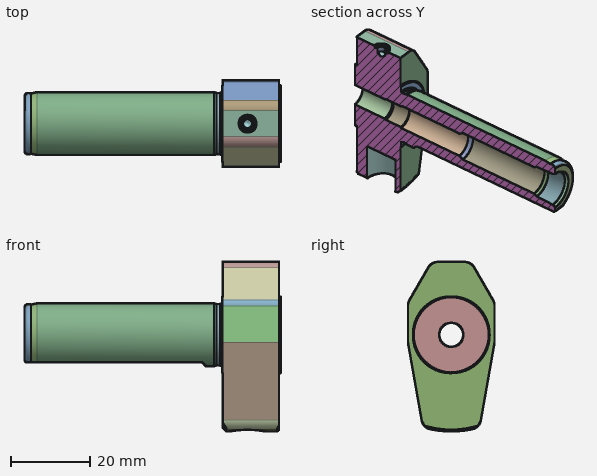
import cadquery as cq
import math

LENGTH = 65.0
HEAD_START = 50.2
HEAD_END = 64.5
HEAD_THICKNESS = HEAD_END - HEAD_START
CROSS_HOLE_X = 56.5

SHAFT_R = 8.0
LIP_R = 15.6 / 2
END_FACE_R = 7.0
LIP_START = (0.15, 7.35)
LIP_CREST = (0.95, LIP_R)
LIP_END = (1.65, 7.65)
TAPER_END_X = 3.2
NECK_TAPER_START = 48.0
NECK_TAPER_END = 48.6
NECK_END = 49.5
FLAT_Z = -7.0
FLAT_END_X = 45.0
FLAT_CHAMFER = 0.5

COLLAR_R = 9.75
COLLAR_CHAMFER = 0.25
FRONT_COLLAR_X = 50.0

BORE_CONE_ANGLE = math.radians(30)
BORE_MOUTH_R = 5.25
BORE_R = 4.8
BORE_INNER_R = 4.6
BORE_END_X = 6.0
PILOT_R = 8.2 / 2
PILOT_END_X = 30.0
TAP_R = 6.9 / 2
TAP_END_X = 50.0
RELIEF_R = 6.4 / 2
RELIEF_END_X = 55.0
THROUGH_R = 6.0 / 2

HEAD_HALF_WIDTH = 11.0
HEAD_TOP = 18.5
HEAD_BOTTOM_R = 24.5
TOP_HALF_WIDTH = 5.0
SHOULDER_ANGLE = math.radians(60)
TAPER_ANGLE = math.radians(10)
TAPER_TOP_Z = -1.9
TRIM_MARGIN = 1.0
CORNER_R = 3.0
FRONT_BOTTOM_CHAMFER = 1.0
REAR_BOTTOM_CHAMFER = 0.5

POCKET_D = 9.0
POCKET_DEPTH = 10.0
COUNTERSINK_R = 2.25
COUNTERSINK_ANGLE = math.radians(30)
SCREW_R = 4.0 / 2
SCREW_TIP_R = 1.5
SCREW_SINK = 0.25
SOCKET_R = 2.31 / 2
SOCKET_DEPTH = 1.5
SOCKET_POINT_ANGLE = math.radians(30)


def revolve_about_x(profile):
    """Turn a closed (x, radius) profile about the shaft axis."""
    return profile.close().revolve(360, (0, 0, 0), (1, 0, 0))


def make_head():
    shoulder_z = HEAD_TOP - (HEAD_HALF_WIDTH - TOP_HALF_WIDTH) * math.tan(SHOULDER_ANGLE)
    base_z = -HEAD_BOTTOM_R - TRIM_MARGIN
    base_half_width = HEAD_HALF_WIDTH - (TAPER_TOP_Z - base_z) * math.tan(TAPER_ANGLE)
    right_side = [
        (TOP_HALF_WIDTH, HEAD_TOP),
        (HEAD_HALF_WIDTH, shoulder_z),
        (HEAD_HALF_WIDTH, TAPER_TOP_Z),
        (base_half_width, base_z),
    ]
    left_side = [(-y, z) for y, z in reversed(right_side)]
    head = (
        cq.Workplane("YZ", origin=(HEAD_START, 0, 0))
        .polyline(right_side + left_side)
        .close()
        .extrude(HEAD_THICKNESS)
    )
    trim = cq.Workplane("YZ", origin=(HEAD_START, 0, 0)).circle(HEAD_BOTTOM_R).extrude(HEAD_THICKNESS)
    head = head.intersect(trim)

    bend_zone = cq.selectors.BoxSelector(
        (0, -LENGTH, TAPER_TOP_Z - TRIM_MARGIN),
        (LENGTH, LENGTH, TAPER_TOP_Z + TRIM_MARGIN),
    )
    lengthwise = cq.selectors.ParallelDirSelector(cq.Vector(1, 0, 0))
    head = head.edges(lengthwise - bend_zone).fillet(CORNER_R)

    envelope = trim.faces("<X").chamfer(FRONT_BOTTOM_CHAMFER).faces(">X").chamfer(REAR_BOTTOM_CHAMFER)
    return head.intersect(envelope)


def make_shaft():
    profile = (
        cq.Workplane("XY")
        .lineTo(0, END_FACE_R)
        .lineTo(*LIP_START)
        .threePointArc(LIP_CREST, LIP_END)
        .lineTo(TAPER_END_X, SHAFT_R)
        .lineTo(NECK_TAPER_START, SHAFT_R)
        .lineTo(NECK_TAPER_END, LIP_R)
        .lineTo(NECK_END, LIP_R)
        .lineTo(FRONT_COLLAR_X, SHAFT_R)
        .lineTo(HEAD_START, SHAFT_R)
        .lineTo(HEAD_START, 0)
    )
    shaft = revolve_about_x(profile)
    ramp = SHAFT_R + FLAT_Z
    flat = (
        cq.Workplane("XZ")
        .moveTo(0, FLAT_Z + FLAT_CHAMFER)
        .lineTo(FLAT_CHAMFER, FLAT_Z)
        .lineTo(FLAT_END_X, FLAT_Z)
        .lineTo(FLAT_END_X + ramp, -SHAFT_R)
        .lineTo(0, -SHAFT_R)
        .close()
        .extrude(SHAFT_R, both=True)
    )
    return shaft.cut(flat)


def make_collars():
    rim = COLLAR_R - COLLAR_CHAMFER
    profile = (
        cq.Workplane("XY")
        .moveTo(FRONT_COLLAR_X, 0)
        .lineTo(FRONT_COLLAR_X, rim)
        .lineTo(HEAD_START, COLLAR_R)
        .lineTo(LENGTH - COLLAR_CHAMFER, COLLAR_R)
        .lineTo(LENGTH, rim)
        .lineTo(LENGTH, 0)
    )
    return revolve_about_x(profile)


def cone_length(wide_r, narrow_r):
    """Axial length of a conical step in the bore."""
    return (wide_r - narrow_r) / math.tan(BORE_CONE_ANGLE)


def make_bore():
    profile = (
        cq.Workplane("XY")
        .lineTo(0, BORE_MOUTH_R)
        .lineTo(cone_length(BORE_MOUTH_R, BORE_R), BORE_R)
        .lineTo(BORE_END_X, BORE_INNER_R)
        .lineTo(BORE_END_X + cone_length(BORE_INNER_R, PILOT_R), PILOT_R)
        .lineTo(PILOT_END_X, PILOT_R)
        .lineTo(PILOT_END_X + cone_length(PILOT_R, TAP_R), TAP_R)
        .lineTo(TAP_END_X, TAP_R)
        .lineTo(TAP_END_X, RELIEF_R)
        .lineTo(RELIEF_END_X, RELIEF_R)
        .lineTo(RELIEF_END_X + cone_length(RELIEF_R, THROUGH_R), THROUGH_R)
        .lineTo(LENGTH, THROUGH_R)
        .lineTo(LENGTH, 0)
    )
    return revolve_about_x(profile)


def make_set_screw_recess():
    """Space around and inside a set screw sunk just below the top of the head."""
    tip_z = HEAD_TOP - SCREW_SINK
    socket_floor_z = tip_z - SOCKET_DEPTH
    countersink_depth = (COUNTERSINK_R - SCREW_R) / math.tan(COUNTERSINK_ANGLE)
    profile = (
        cq.Workplane("XZ")
        .moveTo(0, HEAD_TOP)
        .lineTo(COUNTERSINK_R, HEAD_TOP)
        .lineTo(SCREW_R, HEAD_TOP - countersink_depth)
        .lineTo(SCREW_R, tip_z - (SCREW_R - SCREW_TIP_R))
        .lineTo(SCREW_TIP_R, tip_z)
        .lineTo(SOCKET_R, tip_z)
        .lineTo(SOCKET_R, socket_floor_z)
        .lineTo(0, socket_floor_z - SOCKET_R * math.tan(SOCKET_POINT_ANGLE))
        .close()
    )
    return profile.revolve(360, (0, 0, 0), (0, 1, 0)).translate((CROSS_HOLE_X, 0, 0))


def make_pocket():
    return (
        cq.Workplane("XY", origin=(CROSS_HOLE_X, 0, -HEAD_BOTTOM_R))
        .circle(POCKET_D / 2)
        .extrude(POCKET_DEPTH)
    )


body = make_head().union(make_shaft()).union(make_collars())
result = body.cut(make_bore()).cut(make_set_screw_recess()).cut(make_pocket())